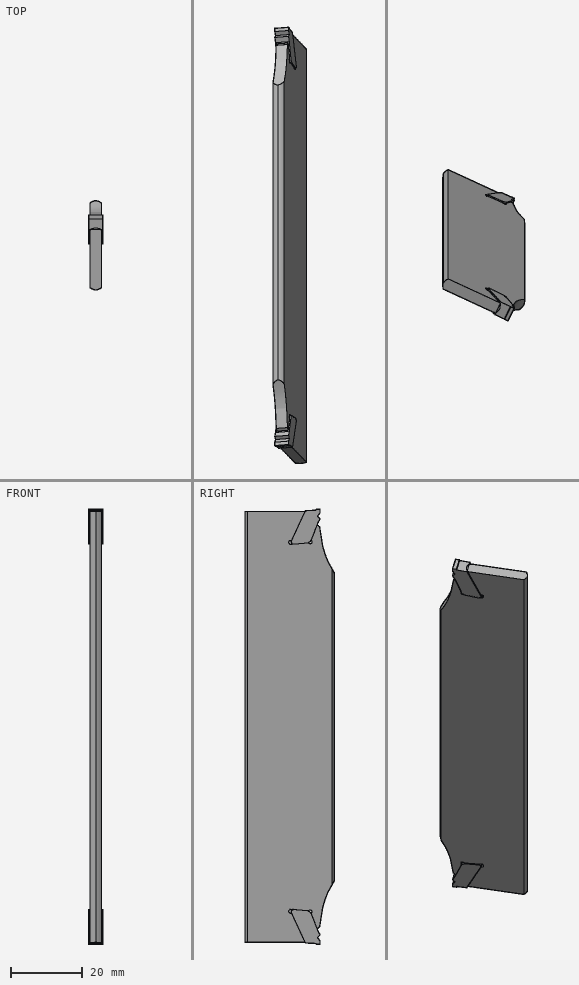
import cadquery as cq
import math

blade_thickness = 3.3
blade_width = 25.0
blade_half_length = 60.0
edge_bevel = 0.7
edge_bulge = 0.1

throat_start = (blade_width / 2, 42.8)
throat_middle = (10.7, 46.1)
throat_end = (9.2, 50.3)
jaw_shoulder = (8.4, 55.6)
jaw_tip = (7.8, 56.2)

total_half_length = 60.6
insert_width = 4.0
seat_corner_radius = 0.6
clamp_corner_radius = 1.5
insert_front = 8.5
seat_top = (4.4, 60.2)
seat_bottom = (0.0, 50.8)
clamp_bottom = (5.7, 51.3)
clamp_top = (7.8, 56.6)
chip_breaker_heights = (58.0, 58.7, 59.6)
chip_breaker_depth = 0.7
land_width = 1.1
land_step_bottom = (7.3, 60.4)

ridge_height = 0.7
relief_radius = 0.5
relief_centers = ((0.2, 51.4), (5.7, 51.5))


def prism(outline, thickness):
    """Extrude a closed YZ outline symmetrically about the X = 0 plane."""
    return outline.extrude(thickness / 2, both=True)


def insert_blank():
    """Sharp-cornered upper insert, which is also the shape of its pocket."""
    ridge_top, groove, face_start = chip_breaker_heights
    outline = (
        cq.Workplane("YZ")
        .moveTo(*seat_top)
        .lineTo(*seat_bottom)
        .lineTo(*clamp_bottom)
        .lineTo(*clamp_top)
        .lineTo(insert_front, ridge_top)
        .lineTo(insert_front - chip_breaker_depth, groove)
        .lineTo(insert_front, face_start)
        .lineTo(insert_front, total_half_length)
        .lineTo(insert_front - land_width, total_half_length)
        .lineTo(*land_step_bottom)
        .close()
    )
    return prism(outline, insert_width)


def seat_ridge():
    """V-shaped rail along the long seat, pointing into the insert."""
    run_y = seat_top[0] - seat_bottom[0]
    run_z = seat_top[1] - seat_bottom[1]
    seat_plane = cq.Plane(
        origin=(0, *seat_bottom), xDir=(1, 0, 0), normal=(0, run_y, run_z)
    )
    half = blade_thickness / 2
    rail = cq.Workplane(seat_plane).polyline([(-half, 0), (half, 0), (0, ridge_height)]).close()
    return rail.extrude(math.hypot(run_y, run_z)).intersect(insert_blank())


def make_insert():
    """Upper insert with rounded inner corners and a V groove along its seat."""
    blank = insert_blank()
    for corner, radius in ((seat_bottom, seat_corner_radius), (clamp_bottom, clamp_corner_radius)):
        nearest = cq.selectors.NearestToPointSelector((0, *corner))
        blank = blank.edges("|X").edges(nearest).fillet(radius)
    return blank.cut(seat_ridge())


def blade_bar():
    """Full-length bar with two shallow arcs meeting in a ridge along both long edges."""
    half_thickness = blade_thickness / 2
    half_width = blade_width / 2
    shoulder = half_width - edge_bevel
    bulge_x = half_thickness / 2 + edge_bulge
    bulge_y = half_width - edge_bevel / 2 + edge_bulge
    section = (
        cq.Workplane("XY")
        .moveTo(half_thickness, -shoulder)
        .lineTo(half_thickness, shoulder)
        .threePointArc((bulge_x, bulge_y), (0, half_width))
        .threePointArc((-bulge_x, bulge_y), (-half_thickness, shoulder))
        .lineTo(-half_thickness, -shoulder)
        .threePointArc((-bulge_x, -bulge_y), (0, -half_width))
        .threePointArc((bulge_x, -bulge_y), (half_thickness, -shoulder))
        .close()
    )
    return section.extrude(blade_half_length, both=True)


def throat_cutter():
    """Space in front of the upper insert, bounded by the throat curve and jaw."""
    outline = (
        cq.Workplane("YZ")
        .moveTo(*throat_start)
        .threePointArc(throat_middle, throat_end)
        .lineTo(*jaw_shoulder)
        .lineTo(*jaw_tip)
        .lineTo(*clamp_top)
        .lineTo(jaw_tip[0], total_half_length)
        .lineTo(blade_width / 2, total_half_length)
        .close()
    )
    return prism(outline, insert_width)


def corner_reliefs():
    """Round clearances through the blade at the inner pocket corners."""
    return prism(cq.Workplane("YZ").pushPoints(relief_centers).circle(relief_radius), insert_width)


def make_blade():
    """Bar with a throat, pocket and seat ridge at each end."""
    blade = blade_bar()
    pocket = throat_cutter().union(insert_blank()).cut(seat_ridge()).union(corner_reliefs())
    for end_pocket in (pocket, pocket.mirror("XY")):
        blade = blade.cut(end_pocket)
    return blade


blade = make_blade()
upper_insert = make_insert()
inserts = [upper_insert, upper_insert.mirror("XY")]

result = cq.Compound.makeCompound([blade.val(), *[insert.val() for insert in inserts]])